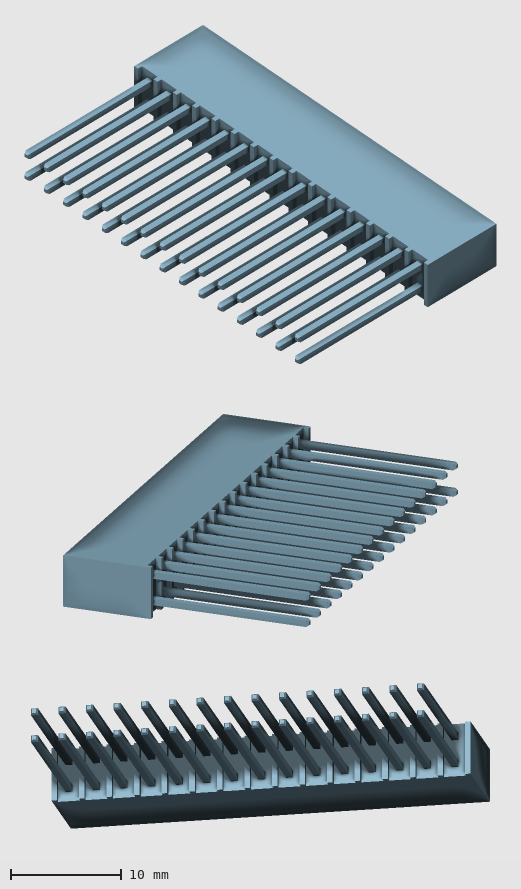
import cadquery as cq

pitch = 2.54
columns = 15
rows = 2
rib_width = 0.51
rib_height = 0.51
housing_depth = 8.51
housing_height = 4.95
overall_depth = 23.34
pin_width = 0.64
tip_length = 0.25
tip_width = 0.36

housing_width = columns * pitch + rib_width
channel_width = pitch - rib_width
rib_face_y = 0.0
floor_y = rib_face_y + rib_height
back_y = rib_face_y + housing_depth
tip_y = back_y - overall_depth
pin_length = floor_y - tip_y
pin_shank_length = pin_length - tip_length

column_positions = [(i - (columns - 1) / 2) * pitch for i in range(columns)]
row_positions = [(j - (rows - 1) / 2) * pitch for j in range(rows)]


def make_housing():
    """Rectangular block with its rib faces on the front, -Y side."""
    return cq.Workplane("XY").box(
        housing_width, housing_depth, housing_height
    ).translate((0, (rib_face_y + back_y) / 2, 0))


def make_channel(x):
    """Vertical channel between two ribs, open at the top and bottom."""
    return cq.Workplane("XY").box(
        channel_width, rib_height, housing_height
    ).translate((x, (rib_face_y + floor_y) / 2, 0))


def make_pin(x, z):
    """Square pin standing on the channel floor, tapering at its free end."""
    shank = (
        cq.Workplane("XZ", origin=(x, floor_y, z))
        .rect(pin_width, pin_width)
        .extrude(pin_shank_length)
    )
    tip = (
        cq.Workplane("XZ", origin=(x, floor_y - pin_shank_length, z))
        .rect(pin_width, pin_width)
        .workplane(offset=tip_length)
        .rect(tip_width, tip_width)
        .loft()
    )
    return shank.union(tip)


result = make_housing()
for column_x in column_positions:
    result = result.cut(make_channel(column_x))
for column_x in column_positions:
    for row_z in row_positions:
        result = result.union(make_pin(column_x, row_z))